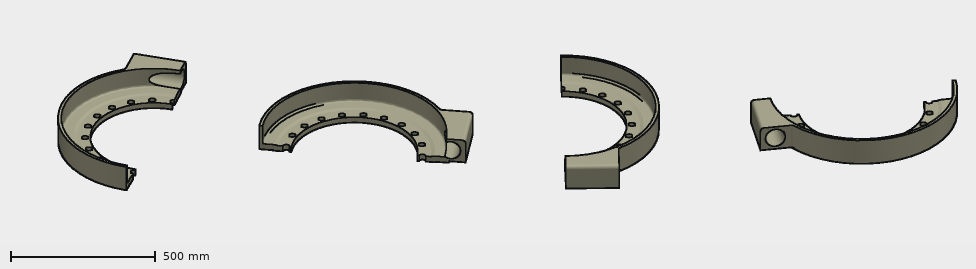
import cadquery as cq
import math

overall_height = 99.0
rim_bottom = 2.0
floor_height = 25.5
flange_height = 22.5

outer_radius = 331.5
wall_inner_radius = 320.0
step_outer_radius = 278.5
step_inner_radius = 266.5
bore_radius = 219.5
foot_radius = 283.5
wall_root_fillet = 8.0
rim_chamfer = 2.5

bolt_diameter = 23.0
bolt_circle_radius = 237.5
bolts_per_full_turn = 20

overall_length = 640.0
block_reach = 388.5
block_length = overall_length * math.sqrt(2) - block_reach - outer_radius
block_bottom = 8.5
block_top_fillet = 13.0
block_root_fillet = 13.0

clamp_bore_diameter = 69.0
clamp_bore_offset = 336.0
clamp_bore_height = 54.5

cut_plane_angle = 135


def make_half_ring():
    """Revolve the channel section through half a turn on the +Y side."""
    root_mid_radius = wall_inner_radius - wall_root_fillet * (1 - math.sqrt(0.5))
    root_mid_height = floor_height + wall_root_fillet * (1 - math.sqrt(0.5))
    section = (
        cq.Workplane("XZ")
        .moveTo(bore_radius, 0)
        .lineTo(foot_radius, 0)
        .lineTo(foot_radius, rim_bottom)
        .lineTo(outer_radius - rim_chamfer, rim_bottom)
        .lineTo(outer_radius, rim_bottom + rim_chamfer)
        .lineTo(outer_radius, overall_height)
        .lineTo(wall_inner_radius, overall_height)
        .lineTo(wall_inner_radius, floor_height + wall_root_fillet)
        .threePointArc(
            (root_mid_radius, root_mid_height),
            (wall_inner_radius - wall_root_fillet, floor_height),
        )
        .lineTo(step_outer_radius, floor_height)
        .lineTo(step_inner_radius, flange_height)
        .lineTo(bore_radius, flange_height)
        .close()
    )
    return section.revolve(180, (0, 0), (0, 1))


def make_clamp_block():
    """Block outside the wall, with its top outer edge rounded."""
    block = cq.Workplane("XY").box(
        block_reach, block_length, overall_height - block_bottom, centered=False
    )
    block = block.translate((0, 0, block_bottom))
    block = block.faces(">X").edges(">Z").fillet(block_top_fillet)
    ring_interior = cq.Workplane("XY").circle((outer_radius + wall_inner_radius) / 2)
    return block.cut(ring_interior.extrude(overall_height))


def round_block_root(body):
    """Fillet the inside corner where the block's end face meets the ring."""
    corner_x = math.sqrt(outer_radius**2 - block_length**2)
    corner_height = (block_bottom + overall_height) / 2
    corner = cq.selectors.NearestToPointSelector((corner_x, block_length, corner_height))
    return body.edges("|Z").edges(corner).fillet(block_root_fillet)


def make_bolt_holes():
    """Full circle of holes; the half ring takes only those within its reach."""
    centres = cq.Workplane("XY").polarArray(bolt_circle_radius, 0, 360, bolts_per_full_turn)
    return centres.circle(bolt_diameter / 2).extrude(overall_height)


def make_clamp_bore():
    """Cylinder along the whole block, which also breaks into the channel near the cut plane."""
    return (
        cq.Workplane("XZ")
        .center(clamp_bore_offset, clamp_bore_height)
        .circle(clamp_bore_diameter / 2)
        .extrude(-block_length)
    )


body = round_block_root(make_half_ring().union(make_clamp_block()))
body = body.cut(make_bolt_holes()).cut(make_clamp_bore())
result = body.rotate((0, 0, 0), (0, 0, 1), cut_plane_angle)